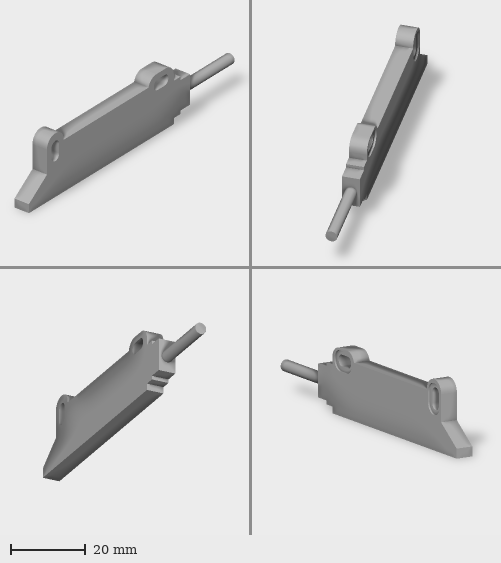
import cadquery as cq

total_length = 89.0
thickness = 5.0

body_top = 16.0
nose_height = 2.8
slope_top = 8.45
shoulder_y = 7.7
main_end_y = 61.9

collar_end_y = 64.9
collar_bottom, collar_top = 1.9, 13.35
plug_end_y = 68.95
plug_bottom, plug_top = 2.9, 12.3
cable_diameter = 3.3
cable_z = 7.4
cable_length = total_length - plug_end_y

ear_radius = 3.4
front_ear_top = 19.6
rear_ear_top = 18.7
ear_height = 5.3
ear_root_radius = 0.13
front_ear_length = 7.1
rear_ear_length = 10.85
front_ear_y = shoulder_y + front_ear_length / 2
rear_ear_y = main_end_y - rear_ear_length / 2

slot_width = 3.3
slot_length = 6.2
recess_width = 5.9
recess_length = slot_length + recess_width - slot_width
recess_depth = 0.5
front_slot_z = 14.15
rear_slot_z = 15.2


def box(y_start, y_end, z_bottom, z_top):
    """Full-thickness block between the given Y and Z limits."""
    size_y = y_end - y_start
    size_z = z_top - z_bottom
    block = cq.Workplane("XY").box(thickness, size_y, size_z)
    return block.translate((0, (y_start + y_end) / 2, (z_bottom + z_top) / 2))


def obround(y, z, length, width, angle, x_start, depth):
    """Round-ended prism extruded along X; angle 0 lies along Y, 90 stands along Z."""
    plane = cq.Workplane("YZ", origin=(x_start, y, z))
    return plane.slot2D(length, width, angle).extrude(depth)


def make_body():
    """Main plate with the sloped nose and the stepped rear end."""
    plate = (
        cq.Workplane("YZ", origin=(-thickness / 2, 0, 0))
        .moveTo(0, 0)
        .lineTo(main_end_y, 0)
        .lineTo(main_end_y, body_top)
        .lineTo(shoulder_y, body_top)
        .lineTo(shoulder_y, slope_top)
        .lineTo(0, nose_height)
        .close()
        .extrude(thickness)
    )
    collar = box(main_end_y, collar_end_y, collar_bottom, collar_top)
    plug = box(main_end_y, plug_end_y, plug_bottom, plug_top)
    return plate.union(collar).union(plug)


def make_ear(y_center, length, top):
    """Ear standing above the plate, with both top corners rounded."""
    y_start = y_center - length / 2
    ear = box(y_start, y_start + length, top - ear_height, top)
    return ear.edges("|X and >Z").fillet(ear_radius)


def make_slot_cut(y, z, angle):
    """Through slot plus the shallow recess on the -X face."""
    slot = obround(y, z, slot_length, slot_width, angle, -thickness / 2, thickness)
    recess = obround(y, z, recess_length, recess_width, angle, -thickness / 2, recess_depth)
    return slot.union(recess)


def make_cable():
    """Round cable leaving the rear face."""
    start = cq.Workplane("XZ", origin=(0, plug_end_y, cable_z))
    return start.circle(cable_diameter / 2).extrude(-cable_length)


rear_corner = box(rear_ear_y, main_end_y, rear_ear_top - ear_height, body_top)

plate_with_ears = (
    make_body()
    .cut(rear_corner)
    .union(make_ear(front_ear_y, front_ear_length, front_ear_top))
    .union(make_ear(rear_ear_y, rear_ear_length, rear_ear_top))
)

ear_root = (0, front_ear_y + front_ear_length / 2, body_top)
plate_with_ears = plate_with_ears.edges(cq.NearestToPointSelector(ear_root)).fillet(ear_root_radius)

result = (
    plate_with_ears
    .union(make_cable())
    .cut(make_slot_cut(front_ear_y, front_slot_z, 90))
    .cut(make_slot_cut(rear_ear_y, rear_slot_z, 0))
)